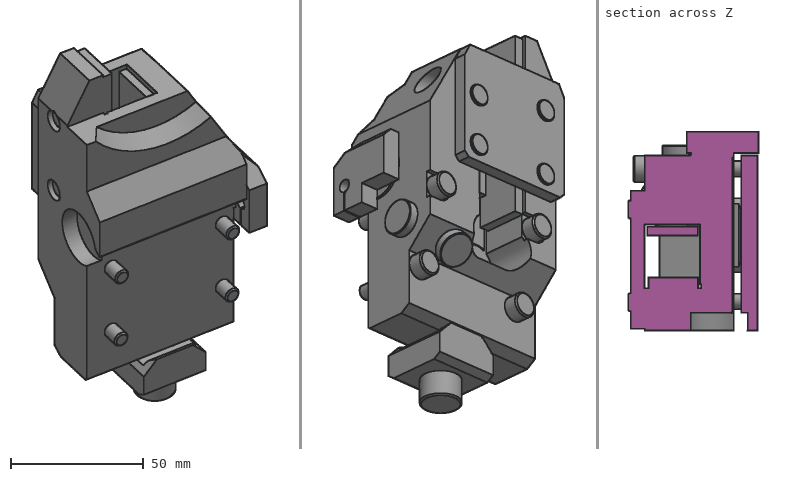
import cadquery as cq
import math

WIDTH = 66.0
BACK_X = 33.6
LOWER_LEFT_X = 11.3
BODY_BOTTOM = 24.2
BODY_TOP = 136.5
SLOPE_TOP = 60.7
SLOPE_BOTTOM = SLOPE_TOP - LOWER_LEFT_X
BOTTOM_CHAMFER_WIDTH = 4.3
BOTTOM_CHAMFER_HEIGHT = 2.8
BOTTOM_BEVEL = 0.8
NOSE_X = 42.6
NOSE_BOTTOM = 88.9
NOSE_TOP = 105.4
NOSE_LIP = 0.5
HOOK_TOP = 95.2
HOOK_UNDERCUT = 0.5
HOOK_UNDERCUT_HEIGHT = 2.3
SHOULDER_START_Y = 50.2
SHOULDER_ANGLE = 60.0

SLOT_DEPTH = 20.8
SLOT_FRONT_Y = 16.0
SLOT_BACK_Y = 40.0
RELIEF_WIDTH = 1.4
RELIEF_DEPTH = 0.5
WINDOW_BOTTOM = 55.1
WINDOW_HEIGHT = 16.2
WINDOW_FRONT_Y = 13.0
WINDOW_BACK_Y = 43.2
TONGUE_TOP = 154.3
TONGUE_DEPTH = 20.2
TONGUE_FLAT_Y = 9.9
TONGUE_SLOPE_BOTTOM = 137.0
LINER_THICKNESS = 4.0
LINER_LEFT = 1.4
LINER_TOP = 153.4
LINER_BOTTOM = 78.9
JAW_LEFT = 1.0
JAW_RIGHT = 20.0
JAW_FRONT_Y = 35.8
JAW_BACK_Y = 39.2
JAW_BOTTOM = 79.8
JAW_TOP = 135.3
JAW_PAD_DIAMETER = 11.4
JAW_PAD_Z = 87.2

CROSS_X = 10.8
SHOULDER_HOLE_DIAMETER = 12.3
SHOULDER_HOLE_Z = 124.9
FRONT_HOLE_DIAMETER = 8.5
FRONT_HOLE_TIP_DIAMETER = 7.0
FRONT_HOLE_DEPTH = 2.6
FRONT_HOLE_ZS = (133.2, 100.3)

BOWL_Y = 36.4
BOWL_Z = 165.3
BOWL_FLOOR_X = 26.2
BOWL_FLOOR_RADIUS = 39.7
BOWL_MOUTH_RADIUS = 43.4

PIVOT_X = 28.1
PIVOT_Z = 88.9
PIVOT_DIAMETER = 22.8
PIVOT_RECESS = 6.6
CLAMP_LEFT = 15.9
CLAMP_RIGHT = 43.0
CLAMP_BOTTOM = 72.7
CLAMP_TOP = 100.8
CLAMP_FRONT_Y = 67.0
CLAMP_BACK_Y = 75.0
CLAMP_BEVEL_WIDTH = 11.4
CLAMP_BEVEL_HEIGHT = 7.9
CLAMP_STEP_X = 27.8
CLAMP_STEP_Z = 80.9
CLAMP_EDGE_CHAMFER = 3.7
CLAMP_HOLE_DIAMETER = 5.1
CLAMP_HOLE_X = 37.2
CLAMP_HOLE_Z = 83.2
CLAMP_SLIT = 0.6

COVER_THICKNESS = 5.2
COVER_FRONT_Y = 0.6
COVER_BACK_Y = 52.8
COVER_BOTTOM = 88.5
COVER_CORNER = 2.0
COVER_CORNER_WIDTH = 2.8
COVER_CORNER_HEIGHT = 5.1
COVER_HEAD_DIAMETER = 8.5
COVER_HEAD_HEIGHT = 1.0
COVER_HEADS = ((45.7, 116.4), (45.7, 95.4), (10.6, 122.4), (10.6, 95.4))

HEAD_DIAMETER = 10.0
HEAD_HEIGHT = 6.2
HEAD_CHAMFER = 0.6
SMALL_CHAMFER = 0.3
SCREW_YS = (11.0, 61.0)
UPPER_SCREW_Z = 74.0
LOWER_SCREW_Z = 44.0
SEAT_DEPTH = 1.9
SEAT_DIAMETER = 10.8
PIN_DIAMETER = 6.0
UPPER_PIN_END = 41.5
LOWER_PIN_END = 41.0

CAP_DIAMETER = 14.0
CAP_HEIGHT = 3.9
SLOPE_CAP_Y = 49.2
BACK_CAP_X = 13.7
BACK_CAP_Z = 63.3

FOOT_X = 25.3
FOOT_Y = 36.0
FOOT_WIDTH = 28.0
FOOT_BOTTOM = 10.2
FOOT_TOP = 26.5
FOOT_CHANNEL_DEPTH = 3.7
FOOT_EAR_WIDTH = 3.9
FOOT_EAR_SLOPE_WIDTH = 3.1
FOOT_EAR_SLOPE_DROP = 1.9
FOOT_SIDE_CHAMFER = 5.9
FOOT_EDGE_WIDTH = 3.1
FOOT_EDGE_HEIGHT = 2.0
NECK_DIAMETER = 10.0
FOOT_SCREW_DIAMETER = 16.0

OVERLAP = 0.8


def box(x0, x1, y0, y1, z0, z1):
    return cq.Workplane("XY").box(x1 - x0, y1 - y0, z1 - z0, centered=False).translate((x0, y0, z0))


def extrude_along_y(points, y0, y1):
    """Extrude an outline given as (x, z) points from y0 to y1."""
    return cq.Workplane("XZ", origin=(0, y0, 0)).polyline(points).close().extrude(y0 - y1)


def extrude_along_x(points, x0, x1):
    """Extrude an outline given as (y, z) points from x0 to x1."""
    return cq.Workplane("YZ", origin=(x0, 0, 0)).polyline(points).close().extrude(x1 - x0)


def cylinder(start, direction, diameter, length):
    solid = cq.Solid.makeCylinder(diameter / 2, length, cq.Vector(*start), cq.Vector(*direction))
    return cq.Workplane(obj=solid)


def screw_head(seat, direction, diameter, height, chamfer):
    """A cap head whose seat is sunk slightly into the supporting face and whose outer rim is chamfered."""
    start = cq.Vector(*seat) - cq.Vector(*direction).normalized() * OVERLAP
    head = cylinder(start.toTuple(), direction, diameter, height + OVERLAP)
    rim = cq.selectors.DirectionMinMaxSelector(cq.Vector(*direction), True)
    return head.faces(rim).edges().chamfer(chamfer)


def body_block():
    outline = [
        (0, SLOPE_TOP),
        (LOWER_LEFT_X, SLOPE_BOTTOM),
        (LOWER_LEFT_X, BODY_BOTTOM + BOTTOM_CHAMFER_HEIGHT),
        (LOWER_LEFT_X + BOTTOM_CHAMFER_WIDTH, BODY_BOTTOM),
        (BACK_X - BOTTOM_BEVEL, BODY_BOTTOM),
        (BACK_X, BODY_BOTTOM + BOTTOM_BEVEL),
        (BACK_X, HOOK_TOP - HOOK_UNDERCUT_HEIGHT),
        (BACK_X - HOOK_UNDERCUT, HOOK_TOP - HOOK_UNDERCUT_HEIGHT),
        (BACK_X - HOOK_UNDERCUT, HOOK_TOP),
        (NOSE_X - NOSE_LIP, NOSE_BOTTOM),
        (NOSE_X, NOSE_BOTTOM),
        (NOSE_X, NOSE_TOP),
        (BACK_X, NOSE_TOP + NOSE_X - BACK_X),
        (BACK_X, BODY_TOP),
        (0, BODY_TOP),
    ]
    shoulder_drop = (WIDTH - SHOULDER_START_Y) * math.tan(math.radians(SHOULDER_ANGLE))
    shoulder = [
        (SHOULDER_START_Y, BODY_TOP),
        (WIDTH, BODY_TOP - shoulder_drop),
        (WIDTH, BODY_TOP),
    ]
    return extrude_along_y(outline, 0, WIDTH).cut(extrude_along_x(shoulder, 0, NOSE_X))


def slot_and_window():
    window_middle_z = WINDOW_BOTTOM + WINDOW_HEIGHT / 2
    slot = box(0, SLOT_DEPTH, SLOT_FRONT_Y, SLOT_BACK_Y, window_middle_z, BODY_TOP)
    deep_x = SLOT_DEPTH + RELIEF_DEPTH
    relief = box(
        SLOT_DEPTH, deep_x,
        SLOT_FRONT_Y, SLOT_FRONT_Y + RELIEF_WIDTH,
        window_middle_z, BODY_TOP,
    )
    window = (
        cq.Workplane("YZ")
        .center((WINDOW_FRONT_Y + WINDOW_BACK_Y) / 2, window_middle_z)
        .slot2D(WINDOW_BACK_Y - WINDOW_FRONT_Y, WINDOW_HEIGHT)
        .extrude(deep_x)
    )
    return slot.union(relief).union(window)


def bowl():
    """Conical recess about an X axis above the body, widening toward the back face."""
    solid = cq.Solid.makeCone(
        BOWL_FLOOR_RADIUS, BOWL_MOUTH_RADIUS, BACK_X - BOWL_FLOOR_X,
        cq.Vector(BOWL_FLOOR_X, BOWL_Y, BOWL_Z), cq.Vector(1, 0, 0),
    )
    return cq.Workplane(obj=solid)


def front_hole(z):
    """Round recess whose floor is the chamfered end of a screw."""
    hole = cylinder((CROSS_X, 0, z), (0, 1, 0), FRONT_HOLE_DIAMETER, FRONT_HOLE_DEPTH)
    chamfer = (FRONT_HOLE_DIAMETER - FRONT_HOLE_TIP_DIAMETER) / 2
    tip = cq.Solid.makeCone(
        FRONT_HOLE_TIP_DIAMETER / 2, FRONT_HOLE_DIAMETER / 2, chamfer,
        cq.Vector(CROSS_X, FRONT_HOLE_DEPTH - chamfer, z), cq.Vector(0, 1, 0),
    )
    return hole.cut(cq.Workplane(obj=tip))


def screw_seat(y, open_to_y):
    """Round seat for an upper screw head, opening sideways to the given Y."""
    seat = cylinder((0, y, UPPER_SCREW_Z), (1, 0, 0), SEAT_DIAMETER, SEAT_DEPTH)
    radius = SEAT_DIAMETER / 2
    return seat.union(box(0, SEAT_DEPTH, y, open_to_y, UPPER_SCREW_Z - radius, UPPER_SCREW_Z + radius))


def tongue():
    outline = [
        (0, BODY_TOP - OVERLAP),
        (SLOT_FRONT_Y, BODY_TOP - OVERLAP),
        (SLOT_FRONT_Y, TONGUE_TOP),
        (TONGUE_FLAT_Y, TONGUE_TOP),
        (0, TONGUE_SLOPE_BOTTOM),
    ]
    liner = box(
        LINER_LEFT, TONGUE_DEPTH,
        SLOT_FRONT_Y, SLOT_FRONT_Y + LINER_THICKNESS,
        LINER_BOTTOM, LINER_TOP,
    )
    return extrude_along_x(outline, 0, TONGUE_DEPTH).union(liner)


def jaw():
    plate = box(JAW_LEFT, JAW_RIGHT, JAW_FRONT_Y, JAW_BACK_Y, JAW_BOTTOM, JAW_TOP)
    pad_x = (JAW_LEFT + JAW_RIGHT) / 2
    pad_length = SLOT_BACK_Y - JAW_BACK_Y + OVERLAP
    return plate.union(cylinder((pad_x, JAW_BACK_Y, JAW_PAD_Z), (0, 1, 0), JAW_PAD_DIAMETER, pad_length))


def clamp():
    outline = [
        (CLAMP_LEFT, CLAMP_TOP),
        (CLAMP_RIGHT - CLAMP_BEVEL_WIDTH, CLAMP_TOP),
        (CLAMP_RIGHT, CLAMP_TOP - CLAMP_BEVEL_HEIGHT),
        (CLAMP_RIGHT, CLAMP_BOTTOM),
        (CLAMP_STEP_X, CLAMP_BOTTOM),
        (CLAMP_STEP_X, CLAMP_STEP_Z),
        (CLAMP_LEFT, CLAMP_STEP_Z),
    ]
    plate = extrude_along_y(outline, CLAMP_FRONT_Y, CLAMP_BACK_Y)
    plate = plate.faces(">Z").edges(">Y").chamfer(CLAMP_EDGE_CHAMFER)
    thickness = CLAMP_BACK_Y - CLAMP_FRONT_Y
    hole = cylinder((CLAMP_HOLE_X, CLAMP_FRONT_Y, CLAMP_HOLE_Z), (0, 1, 0), CLAMP_HOLE_DIAMETER, thickness)
    slit = box(
        CLAMP_HOLE_X - CLAMP_SLIT / 2, CLAMP_HOLE_X + CLAMP_SLIT / 2,
        CLAMP_FRONT_Y, CLAMP_BACK_Y,
        CLAMP_BOTTOM, CLAMP_HOLE_Z,
    )
    pivot_start = WIDTH - OVERLAP
    pivot = cylinder(
        (PIVOT_X, pivot_start, PIVOT_Z), (0, 1, 0), PIVOT_DIAMETER, CLAMP_FRONT_Y - pivot_start
    )
    pivot = pivot.intersect(box(0, BACK_X, 0, CLAMP_BACK_Y, 0, BODY_TOP))
    return plate.cut(hole).cut(slit).union(pivot)


def cover():
    outline = [
        (COVER_FRONT_Y, COVER_BOTTOM + COVER_CORNER),
        (COVER_FRONT_Y + COVER_CORNER, COVER_BOTTOM),
        (COVER_BACK_Y - COVER_CORNER, COVER_BOTTOM),
        (COVER_BACK_Y, COVER_BOTTOM + COVER_CORNER),
        (COVER_BACK_Y, BODY_TOP - COVER_CORNER_HEIGHT),
        (COVER_BACK_Y - COVER_CORNER_WIDTH, BODY_TOP),
        (COVER_FRONT_Y + COVER_CORNER_WIDTH, BODY_TOP),
        (COVER_FRONT_Y, BODY_TOP - COVER_CORNER_HEIGHT),
    ]
    plate = extrude_along_x(outline, -COVER_THICKNESS, 0)
    for y, z in COVER_HEADS:
        plate = plate.union(
            screw_head(
                (-COVER_THICKNESS, y, z), (-1, 0, 0), COVER_HEAD_DIAMETER, COVER_HEAD_HEIGHT, SMALL_CHAMFER
            )
        )
    return plate


def mounting_screw(y, z, seat_x, pin_end):
    head = screw_head((seat_x, y, z), (-1, 0, 0), HEAD_DIAMETER, HEAD_HEIGHT, HEAD_CHAMFER)
    pin_start = BACK_X - OVERLAP
    pin = cylinder((pin_start, y, z), (1, 0, 0), PIN_DIAMETER, pin_end - pin_start)
    return head.union(pin.faces(">X").edges().chamfer(HEAD_CHAMFER))


def foot():
    half = FOOT_WIDTH / 2
    floor_half = half - FOOT_EAR_WIDTH
    ear_half = half - FOOT_EAR_SLOPE_WIDTH
    ear_z = FOOT_TOP - FOOT_EAR_SLOPE_DROP
    floor_z = FOOT_TOP - FOOT_CHANNEL_DEPTH
    channel = [
        (FOOT_X - half, FOOT_BOTTOM + FOOT_EDGE_HEIGHT),
        (FOOT_X - half + FOOT_EDGE_WIDTH, FOOT_BOTTOM),
        (FOOT_X + half - FOOT_EDGE_WIDTH, FOOT_BOTTOM),
        (FOOT_X + half, FOOT_BOTTOM + FOOT_EDGE_HEIGHT),
        (FOOT_X + half, FOOT_TOP),
        (FOOT_X + ear_half, ear_z),
        (FOOT_X + floor_half, floor_z),
        (FOOT_X - floor_half, floor_z),
        (FOOT_X - ear_half, ear_z),
        (FOOT_X - half, FOOT_TOP),
    ]
    side = [
        (FOOT_Y - half, FOOT_BOTTOM),
        (FOOT_Y + half, FOOT_BOTTOM),
        (FOOT_Y + half, FOOT_TOP - FOOT_SIDE_CHAMFER),
        (FOOT_Y + half - FOOT_SIDE_CHAMFER, FOOT_TOP),
        (FOOT_Y - half + FOOT_SIDE_CHAMFER, FOOT_TOP),
        (FOOT_Y - half, FOOT_TOP - FOOT_SIDE_CHAMFER),
    ]
    block = extrude_along_y(channel, FOOT_Y - half, FOOT_Y + half)
    block = block.intersect(extrude_along_x(side, FOOT_X - half, FOOT_X + half))
    neck_start = floor_z - OVERLAP
    neck = cylinder(
        (FOOT_X, FOOT_Y, neck_start), (0, 0, 1), NECK_DIAMETER, BODY_BOTTOM + OVERLAP - neck_start
    )
    screw_seat_point = (FOOT_X, FOOT_Y, FOOT_BOTTOM)
    screw = screw_head(screw_seat_point, (0, 0, -1), FOOT_SCREW_DIAMETER, FOOT_BOTTOM, HEAD_CHAMFER)
    return block.union(neck).union(screw)


result = body_block().cut(slot_and_window()).cut(bowl()).union(tongue())
result = result.cut(cylinder((PIVOT_X, 0, PIVOT_Z), (0, 1, 0), PIVOT_DIAMETER, PIVOT_RECESS))
shoulder_hole_start = (CROSS_X, SLOT_BACK_Y, SHOULDER_HOLE_Z)
result = result.cut(cylinder(shoulder_hole_start, (0, 1, 0), SHOULDER_HOLE_DIAMETER, WIDTH - SLOT_BACK_Y))
for hole_z in FRONT_HOLE_ZS:
    result = result.cut(front_hole(hole_z))
for screw_y, open_y in zip(SCREW_YS, (SLOT_FRONT_Y, WIDTH)):
    result = result.cut(screw_seat(screw_y, open_y))

for attached in (jaw(), clamp(), cover(), foot()):
    result = result.union(attached)
for screw_y in SCREW_YS:
    result = result.union(mounting_screw(screw_y, UPPER_SCREW_Z, SEAT_DEPTH, UPPER_PIN_END))
    result = result.union(mounting_screw(screw_y, LOWER_SCREW_Z, LOWER_LEFT_X, LOWER_PIN_END))

slope_cap_seat = (LOWER_LEFT_X / 2, SLOPE_CAP_Y, (SLOPE_TOP + SLOPE_BOTTOM) / 2)
result = result.union(screw_head(slope_cap_seat, (-1, 0, -1), CAP_DIAMETER, CAP_HEIGHT, SMALL_CHAMFER))
back_cap_seat = (BACK_CAP_X, WIDTH, BACK_CAP_Z)
result = result.union(screw_head(back_cap_seat, (0, 1, 0), CAP_DIAMETER, CAP_HEIGHT, SMALL_CHAMFER))